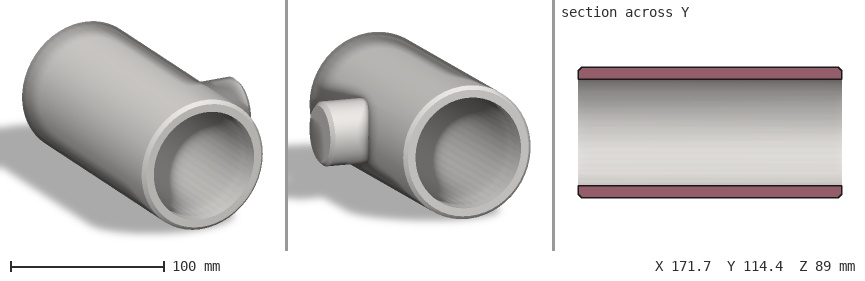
import cadquery as cq

tube_length = 171.7
tube_diameter = 89.0
bore_diameter = 73.7
tube_chamfer = 2.4

overall_depth = 114.4
branch_diameter = 42.4
branch_chamfer = 2.5
branch_reach = overall_depth - tube_diameter / 2


def make_tube_body():
    """Solid main cylinder with both outer end edges bevelled."""
    body = cq.Workplane("YZ").circle(tube_diameter / 2).extrude(tube_length / 2, both=True)
    return body.faces("<X or >X").chamfer(tube_chamfer)


def make_branch():
    """Cylindrical stub from the tube axis to its bevelled outer end."""
    stub = cq.Workplane("XZ").circle(branch_diameter / 2).extrude(-branch_reach)
    return stub.faces(">Y").chamfer(branch_chamfer)


def make_bore():
    """Cutter for the straight bore through the main tube."""
    return cq.Workplane("YZ").circle(bore_diameter / 2).extrude(tube_length / 2, both=True)


result = make_tube_body().union(make_branch()).cut(make_bore())